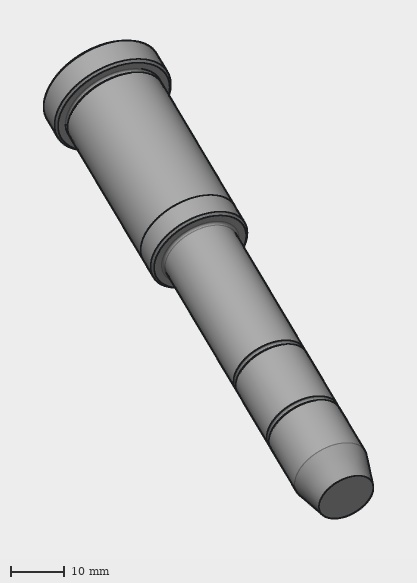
import cadquery as cq
import math

total_length = 111.0
head_length = 6.0
body_end = 45.0
seat_length = 5.0
tip_length = 7.0

head_diameter = 24.0
body_diameter = 20.0
seat_clearance = 0.02
pin_diameter = 15.0

edge_chamfer = 0.5
root_fillet = 0.5
tip_half_angle = 15.0

groove_radius = 0.5
first_groove_center = 77.0
groove_spacing = 15.0
groove_count = 2


def cylinder(start, length, diameter):
    """Cylinder along +X beginning at the given X position."""
    return cq.Workplane("YZ").workplane(offset=start).circle(diameter / 2).extrude(length)


def groove_ring(center, surface_diameter):
    """Half-round ring that cuts a semicircular groove into a round surface."""
    surface_radius = surface_diameter / 2
    section = (
        cq.Workplane("XZ")
        .moveTo(center - groove_radius, surface_radius)
        .threePointArc((center, surface_radius - groove_radius), (center + groove_radius, surface_radius))
        .close()
    )
    return section.revolve(360, (0, 0, 0), (1, 0, 0))


def make_head():
    return cylinder(0, head_length, head_diameter).edges().chamfer(edge_chamfer)


def make_body():
    seat_start = body_end - seat_length
    main = cylinder(head_length, seat_start - head_length, body_diameter)
    undercut = groove_ring(head_length + groove_radius, body_diameter)
    seat = cylinder(seat_start, seat_length, body_diameter - seat_clearance)
    seat = seat.faces(">X").chamfer(edge_chamfer)
    return main.cut(undercut).union(seat)


def make_pin():
    pin_radius = pin_diameter / 2
    tip_radius = pin_radius - tip_length * math.tan(math.radians(tip_half_angle))
    profile = (
        cq.Workplane("XZ")
        .moveTo(body_end, 0)
        .lineTo(body_end, pin_radius + root_fillet)
        .radiusArc((body_end + root_fillet, pin_radius), -root_fillet)
        .lineTo(total_length - tip_length, pin_radius)
        .lineTo(total_length, tip_radius)
        .lineTo(total_length, 0)
        .close()
    )
    pin = profile.revolve(360, (0, 0, 0), (1, 0, 0))
    for index in range(groove_count):
        pin = pin.cut(groove_ring(first_groove_center + index * groove_spacing, pin_diameter))
    return pin


result = make_head().union(make_body()).union(make_pin())